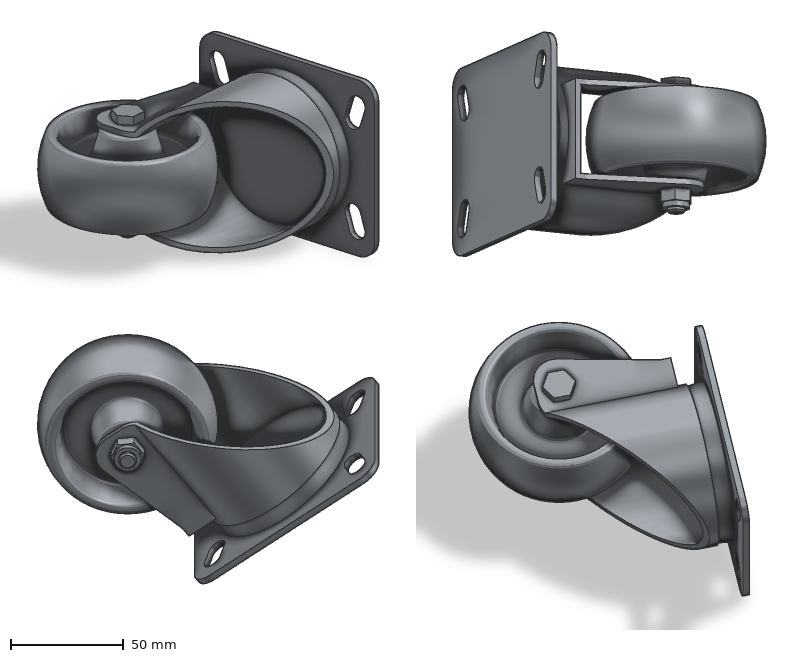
import cadquery as cq
import math


overall_length = 129.0
overall_depth = 107.0
wheel_radius = 40.0

plate_length = 100.0
plate_height = 85.0
plate_thickness = 3.0
plate_corner_radius = 9.0
slot_width = 9.0
slot_outer_end = (40.0, 30.0)
slot_inner_end = (37.5, 22.5)

neck_diameter = 65.7
neck_length = 0.6
cone_wide_diameter = 72.6
cone_narrow_diameter = 70.7
head_depth = 11.0

fork_diameter = 73.0
fork_inner_diameter = 68.0
fork_gap = 40.4
fork_wall = (fork_diameter - fork_inner_diameter) / 2
fork_outer_width = fork_gap + 2 * fork_wall
web_depth = 15.2
lug_half_width = 15.0
lug_corner_radius = 10.3
leg_straight_length = 4.9

wheel_width = 35.0
hub_length = 39.0
web_thickness = 9.3
hub_top_radius = 12.4
hub_base_radius = 16.5
rim_base_radius = 28.5
rim_top_radius = 32.0
wheel_fillet = 2.0

axle_tube_diameter = 12.0
bolt_diameter = 8.0
hex_across_flats = 12.9
washer_face_diameter = 11.6
washer_face_height = 0.4
head_hex_height = 4.5
head_top_chamfer = 0.06
head_bottom_chamfer = 0.4
nut_hex_height = 5.4
nut_chamfer = 0.3
nut_collar_diameter = 12.0
nut_collar_height = 2.5
bolt_tip_length = 1.9
bolt_tip_chamfer = 0.8

wheel_x = plate_length / 2 + wheel_radius - overall_length
wheel_y = wheel_radius - overall_depth
lug_flat_half = lug_half_width - lug_corner_radius
leg_back_x = wheel_x - lug_flat_half


def at_depth(depth):
    """Workplane parallel to the plate; extrusions run away from the plate."""
    return cq.Workplane("XZ", origin=(0, -depth, 0))


def across_axle(z):
    """Workplane square to the wheel axis, centred on that axis."""
    return cq.Workplane("XY", origin=(wheel_x, wheel_y, z))


def tangent_point(center, radius, point, side):
    """Where a line from point touches a circle; side is +1 or -1, turning from center toward point."""
    dx = point[0] - center[0]
    dy = point[1] - center[1]
    angle = math.atan2(dy, dx) + side * math.acos(radius / math.hypot(dx, dy))
    return (center[0] + radius * math.cos(angle), center[1] + radius * math.sin(angle))


def make_plate():
    plate = at_depth(0).rect(plate_length, plate_height).extrude(plate_thickness)
    plate = plate.edges("|Y").fillet(plate_corner_radius)
    rise = slot_outer_end[1] - slot_inner_end[1]
    run = slot_outer_end[0] - slot_inner_end[0]
    mid_x = (slot_outer_end[0] + slot_inner_end[0]) / 2
    mid_z = (slot_outer_end[1] + slot_inner_end[1]) / 2
    slot_length = math.hypot(run, rise) + slot_width
    slot_angle = math.degrees(math.atan2(rise, run))
    for side_x in (-1, 1):
        for side_z in (-1, 1):
            slot = (
                at_depth(0)
                .center(side_x * mid_x, side_z * mid_z)
                .slot2D(slot_length, slot_width, side_x * side_z * slot_angle)
                .extrude(plate_thickness)
            )
            plate = plate.cut(slot)
    return plate


def make_swivel_head():
    """Neck and tapered collar stacked along the swivel axis."""
    cone_depth = plate_thickness + neck_length
    profile = [
        (0, -plate_thickness),
        (neck_diameter / 2, -plate_thickness),
        (neck_diameter / 2, -cone_depth),
        (cone_wide_diameter / 2, -cone_depth),
        (cone_narrow_diameter / 2, -head_depth),
        (0, -head_depth),
    ]
    return cq.Workplane("XY").polyline(profile).close().revolve(360, (0, 0, 0), (0, 1, 0))


def barrel(depth, diameter):
    """Cylinder about the swivel axis, from the given depth down past the wheel."""
    return at_depth(depth).circle(diameter / 2).extrude(overall_depth - depth)


def channel(depth, width):
    """Block from the swivel axis toward the wheel, from the given depth down past the wheel."""
    length = lug_half_width - wheel_x
    return at_depth(depth).center(-length / 2, 0).rect(length, width).extrude(overall_depth - depth)


def fork_side_profile():
    """Side outline: barrel head, sloped back edge, rounded lug at the axle and diagonal front edge."""
    back_center = (leg_back_x, wheel_y)
    front_center = (wheel_x + lug_flat_half, wheel_y)
    slope_top = (leg_back_x, -web_depth - leg_straight_length)
    diagonal_top = (fork_diameter / 2, -web_depth)
    back_touch = tangent_point(back_center, lug_corner_radius, slope_top, 1)
    front_touch = tangent_point(front_center, lug_corner_radius, diagonal_top, -1)
    lug_bottom = wheel_y - lug_corner_radius
    diagonal = math.atan2(front_touch[1] - wheel_y, front_touch[0] - front_center[0])
    front_mid_angle = (diagonal - math.pi / 2) / 2
    front_mid = (
        front_center[0] + lug_corner_radius * math.cos(front_mid_angle),
        front_center[1] + lug_corner_radius * math.sin(front_mid_angle),
    )
    back_mid = (
        back_center[0] - lug_corner_radius * math.sqrt(0.5),
        back_center[1] - lug_corner_radius * math.sqrt(0.5),
    )
    return (
        cq.Workplane("XY", origin=(0, 0, -fork_diameter / 2))
        .moveTo(leg_back_x, -web_depth)
        .lineTo(*slope_top)
        .lineTo(*back_touch)
        .threePointArc(back_mid, (back_center[0], lug_bottom))
        .lineTo(front_center[0], lug_bottom)
        .threePointArc(front_mid, front_touch)
        .lineTo(*diagonal_top)
        .lineTo(fork_diameter / 2, -head_depth)
        .lineTo(-fork_diameter / 2, -head_depth)
        .lineTo(-fork_diameter / 2, -web_depth)
        .close()
        .extrude(fork_diameter)
    )


def make_fork():
    """Sheet-metal barrel and U-shaped channel, hollow inside and trimmed to the side outline."""
    outside = barrel(head_depth, fork_diameter).union(channel(web_depth, fork_outer_width))
    inside = barrel(head_depth + fork_wall, fork_inner_diameter)
    inside = inside.union(channel(web_depth + fork_wall, fork_gap))
    fork = outside.cut(inside).intersect(fork_side_profile())
    bolt_hole = across_axle(0).circle(bolt_diameter / 2).extrude(fork_outer_width / 2, both=True)
    return fork.cut(bolt_hole)


def make_bracket():
    return make_plate().union(make_swivel_head()).union(make_fork())


def make_wheel():
    """Crowned wheel with a recessed web on both faces and a tapered hub."""
    face = wheel_width / 2
    floor = web_thickness / 2
    hub_end = hub_length / 2
    crown_edge_radius = math.sqrt(wheel_radius**2 - face**2)
    blank = (
        cq.Workplane("XZ", origin=(wheel_x, wheel_y, 0))
        .moveTo(0, -hub_end)
        .lineTo(hub_top_radius, -hub_end)
        .lineTo(hub_base_radius, -floor)
        .lineTo(rim_base_radius, -floor)
        .lineTo(rim_top_radius, -face)
        .lineTo(crown_edge_radius, -face)
        .threePointArc((wheel_radius, 0), (crown_edge_radius, face))
        .lineTo(rim_top_radius, face)
        .lineTo(rim_base_radius, floor)
        .lineTo(hub_base_radius, floor)
        .lineTo(hub_top_radius, hub_end)
        .lineTo(0, hub_end)
        .close()
        .revolve(360, (0, 0, 0), (0, 1, 0))
    )
    round_edges = [edge for edge in blank.edges("%CIRCLE").vals() if edge.IsClosed()]
    wheel = blank.newObject(round_edges).fillet(wheel_fillet)
    bore = across_axle(0).circle(axle_tube_diameter / 2).extrude(hub_end, both=True)
    return wheel.cut(bore)


def make_hex(z, height, bottom_chamfer, top_chamfer):
    """Hexagon with corners toward +Y and -Y, its corners turned down to a circle at each end."""
    corner_radius = hex_across_flats / math.sqrt(3)
    flat_radius = hex_across_flats / 2
    prism = across_axle(z).polygon(6, 2 * corner_radius).extrude(height)
    prism = prism.rotate((wheel_x, wheel_y, 0), (wheel_x, wheel_y, 1), 30)
    envelope = (
        cq.Workplane("XZ", origin=(wheel_x, wheel_y, z))
        .lineTo(flat_radius, 0)
        .lineTo(corner_radius, bottom_chamfer)
        .lineTo(corner_radius, height - top_chamfer)
        .lineTo(flat_radius, height)
        .lineTo(0, height)
        .close()
        .revolve(360, (0, 0, 0), (0, 1, 0))
    )
    return prism.intersect(envelope)


def make_axle():
    """Bolt with its head up, spacer tube through the hub, and a collared lock nut below the fork."""
    seat = fork_outer_width / 2
    nut_hex_end = -seat - nut_hex_height
    collar_end = nut_hex_end - nut_collar_height
    tip_end = collar_end - bolt_tip_length

    washer_face = across_axle(seat).circle(washer_face_diameter / 2).extrude(washer_face_height)
    head_bottom = seat + washer_face_height
    head = make_hex(head_bottom, head_hex_height, head_bottom_chamfer, head_top_chamfer)
    nut = make_hex(nut_hex_end, nut_hex_height, nut_chamfer, 0)
    collar = across_axle(collar_end).circle(nut_collar_diameter / 2).extrude(nut_collar_height)
    tube = across_axle(0).circle(axle_tube_diameter / 2).extrude(fork_gap / 2, both=True)
    shank = across_axle(tip_end).circle(bolt_diameter / 2).extrude(seat - tip_end)
    shank = shank.faces("<Z").chamfer(bolt_tip_chamfer)
    return shank.union(tube).union(washer_face).union(head).union(nut).union(collar)


bracket = make_bracket().solids()
wheel = make_wheel().solids()
axle = make_axle().solids()

result = cq.Compound.makeCompound([bracket.val(), wheel.val(), axle.val()])